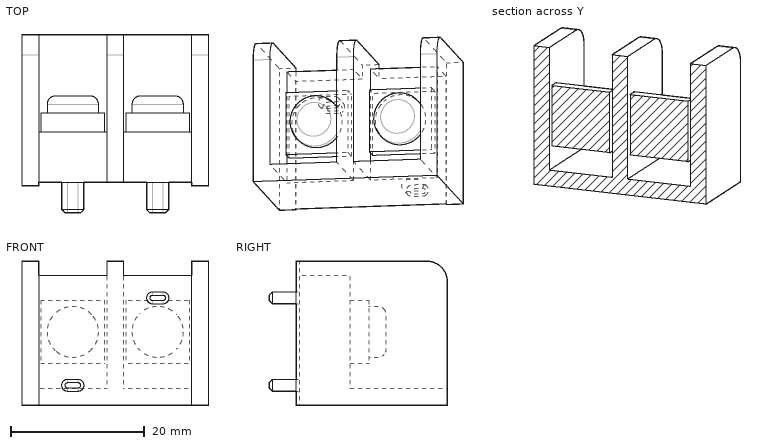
import cadquery as cq


WIDTH = 27.95
HEIGHT = 21.6
WALL_DEPTH = 22.63
WALL_THICKNESS = 2.55
WALL_CORNER_RADIUS = 3.07
FACE_RECESS = 0.53
BODY_DEPTH = 7.55
BODY_HEIGHT = 19.47
FLOOR_THICKNESS = WALL_THICKNESS

POLE_PITCH = (WIDTH - WALL_THICKNESS) / 2
BODY_BACK = FACE_RECESS + BODY_DEPTH

PLATE_SIZE = 9.45
PLATE_THICKNESS = 2.82
HEAD_DIAMETER = 7.65
HEAD_HEIGHT = 2.57
HEAD_FILLET = 1.25
SCREW_Z = (FLOOR_THICKNESS + BODY_HEIGHT) / 2

PIN_WIDTH = 3.32
PIN_THICKNESS = 1.8
PIN_PROJECTION = 4.05
PIN_CHAMFER = 0.5
LOWER_PIN_Z = 3.02
PIN_RISE = 13.08

OVERLAP = 0.28

POLE_X = (-POLE_PITCH / 2, POLE_PITCH / 2)


def wall(x_center, front_y):
    """Upright barrier with its upper rear corner rounded."""
    return (
        cq.Workplane("XY")
        .box(WALL_THICKNESS, WALL_DEPTH - front_y, HEIGHT, centered=(True, False, False))
        .edges(">Y and >Z")
        .fillet(WALL_CORNER_RADIUS)
        .translate((x_center, front_y, 0))
    )


def body_block(depth, height):
    """Block filling the space between the outer wall centres, from the front face back."""
    return (
        cq.Workplane("XY")
        .box(WIDTH - WALL_THICKNESS, depth, height, centered=(True, False, False))
        .translate((0, FACE_RECESS, 0))
    )


def screw_terminal(x_center):
    """Square clamp plate with a rounded screw head on its rear face."""
    plate = cq.Workplane("XY").box(
        PLATE_SIZE, PLATE_THICKNESS + OVERLAP, PLATE_SIZE, centered=(True, False, True)
    )
    head = (
        cq.Workplane("XZ")
        .circle(HEAD_DIAMETER / 2)
        .extrude(-(HEAD_HEIGHT + OVERLAP))
        .faces(">Y")
        .edges()
        .fillet(HEAD_FILLET)
        .translate((0, PLATE_THICKNESS, 0))
    )
    return plate.union(head).translate((x_center, BODY_BACK - OVERLAP, SCREW_Z))


def solder_pin(x_center, z_center):
    """Flat round-edged pin with a chamfered tip."""
    return (
        cq.Workplane("XZ")
        .slot2D(PIN_WIDTH, PIN_THICKNESS)
        .extrude(PIN_PROJECTION + FACE_RECESS + OVERLAP)
        .faces("<Y")
        .chamfer(PIN_CHAMFER)
        .translate((x_center, FACE_RECESS + OVERLAP, z_center))
    )


result = body_block(BODY_DEPTH, BODY_HEIGHT)
result = result.union(body_block(WALL_DEPTH - FACE_RECESS, FLOOR_THICKNESS))

for wall_x, wall_front in ((-POLE_PITCH, 0), (0, FACE_RECESS), (POLE_PITCH, 0)):
    result = result.union(wall(wall_x, wall_front))

for pole_index, pole_x in enumerate(POLE_X):
    result = result.union(screw_terminal(pole_x))
    result = result.union(solder_pin(pole_x, LOWER_PIN_Z + pole_index * PIN_RISE))